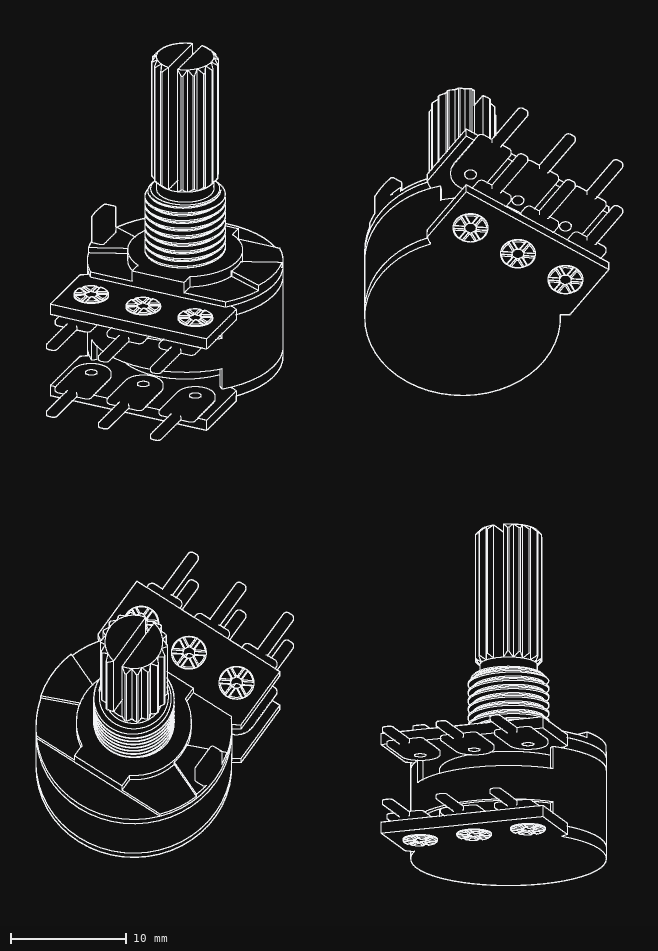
import cadquery as cq
import math

overall_height = 29.7
body_radius = 8.5

board_thickness = 1.0
board_width = 15.0
board_front = 11.5
shoulder_offset = 5.5
neck_offset = 5.05

terminal_count = 3
terminal_pitch = 5.0
rivet_offset = body_radius
terminal_thickness = 0.42
pad_width = 3.45
pad_front = 12.5
pad_corner = 0.42
pin_width = 1.0
pin_front = 16.8
pin_corner = 0.35
edge_round = 0.1
rivet_radius = 1.5
rivet_height = 0.2
rivet_edge = 0.1
rivet_hole_radius = 0.5
rivet_slot_width = 0.3
rivet_slot_depth = 0.15
rivet_slot_angles = (30, 90, 150)

case_height = 6.98
window_height = 2.0
window_angle = 95.0
case_bore_radius = 8.0

cover_half_depth = 5.5
cover_thickness = 0.5
wedge_height = 1.0
wedge_inner_half_width = 1.0
wedge_outer_half_width = 2.5
collar_radius = 5.0
collar_height = 1.5
collar_bar_width = 5.0
tab_inner_face = 7.22
tab_width = 2.8
tab_top = 12.5
tab_corner = 0.25
bushing_height = 6.0
thread_radius = 3.5
thread_root_radius = 3.1
thread_turns = 8
thread_pitch = bushing_height / thread_turns
thread_crest_width = 0.15
runout_turns = 2
thread_start = 0.3
thread_flank_angle = 30
ridge_embedding = 0.05
envelope_clearance = 0.3
bushing_top_radius = 3.0

rotor_radius = 6.0
shaft_radius = 2.5
neck_height = 0.98
spline_radius = 2.9
spline_divisions = 18
teeth_per_side = 8
spline_tip_width = 0.15
spline_chamfer = 0.5
screwdriver_slot_width = 0.9

upper_board_top = 2 * board_thickness + case_height
collar_top = upper_board_top + collar_height
bushing_top = collar_top + bushing_height
spline_bottom = bushing_top + neck_height
shaft_top = overall_height - rivet_height


def disc(radius, bottom, top):
    return cq.Workplane("XY").workplane(offset=bottom).circle(radius).extrude(top - bottom)


def block(x_size, y_size, bottom, top):
    return (
        cq.Workplane("XY").workplane(offset=bottom)
        .rect(x_size, y_size).extrude(top - bottom)
    )


def board_plate():
    neck_x = math.sqrt(body_radius ** 2 - neck_offset ** 2)
    side_x = board_width / 2
    return (
        cq.Workplane("XY")
        .moveTo(neck_x, -neck_offset)
        .threePointArc((0, body_radius), (-neck_x, -neck_offset))
        .lineTo(-side_x, -shoulder_offset)
        .lineTo(-side_x, -board_front)
        .lineTo(side_x, -board_front)
        .lineTo(side_x, -shoulder_offset)
        .close()
        .extrude(board_thickness)
    )


def terminal(x):
    """Flat lug on the upper side of the board, round at the rivet, with a narrow pin."""
    pad = (
        cq.Workplane("XY")
        .moveTo(pad_width / 2, -rivet_offset)
        .threePointArc((0, pad_width / 2 - rivet_offset), (-pad_width / 2, -rivet_offset))
        .lineTo(-pad_width / 2, -pad_front)
        .lineTo(pad_width / 2, -pad_front)
        .close()
        .extrude(terminal_thickness)
        .edges("|Z and <Y").fillet(pad_corner)
    )
    pin_length = pin_front - rivet_offset
    pin = (
        cq.Workplane("XY")
        .center(0, -rivet_offset - pin_length / 2)
        .rect(pin_width, pin_length).extrude(terminal_thickness)
        .edges("|Z and <Y").fillet(pin_corner)
    )
    lug = pad.union(pin).faces("<Z or >Z").edges().fillet(edge_round)
    return lug.translate((x, 0, board_thickness))


def rivet(x):
    """Flat rivet head under the board, split into petals."""
    head = disc(rivet_radius, -rivet_height, 0).cut(disc(rivet_hole_radius, -rivet_height, 0))
    for angle in rivet_slot_angles:
        slot = block(2 * rivet_radius, rivet_slot_width, -rivet_height, rivet_slot_depth - rivet_height)
        head = head.cut(slot.rotate((0, 0, 0), (0, 0, 1), angle))
    return head.faces("<Z").edges().chamfer(rivet_edge).translate((x, -rivet_offset, 0))


def terminal_board():
    """Lower board: terminals on its upper side, rivet heads on its underside."""
    board = board_plate()
    for index in range(terminal_count):
        x = (index - (terminal_count - 1) / 2) * terminal_pitch
        hole = disc(rivet_hole_radius, 0, board_thickness + terminal_thickness)
        board = board.union(terminal(x)).union(rivet(x)).cut(hole.translate((x, -rivet_offset, 0)))
    return board


boards = []
for is_upper in (False, True):
    board = terminal_board()
    if is_upper:
        shaft_hole = disc(shaft_radius, 0, board_thickness)
        board = board.cut(shaft_hole).mirror("XY").translate((0, 0, upper_board_top))
    boards.append(board)


def case_window(bottom):
    """Opening through the wall toward the terminals, with radial end faces."""
    half_angle = math.radians(window_angle / 2)
    reach = 2 * body_radius
    x = reach * math.sin(half_angle)
    y = -reach * math.cos(half_angle)
    return (
        cq.Workplane("XY").workplane(offset=bottom)
        .moveTo(0, 0).lineTo(-x, y).lineTo(x, y).close()
        .extrude(window_height)
    )


def case_body():
    """Thin-walled tube between the two boards."""
    bottom = board_thickness
    top = bottom + case_height
    tube = disc(body_radius, bottom, top).cut(disc(case_bore_radius, bottom, top))
    return tube.cut(case_window(bottom)).cut(case_window(top - window_height))


case = case_body()


def cover_plate():
    bottom = upper_board_top
    outline = disc(body_radius, bottom, collar_top)
    plate = block(2 * body_radius, 2 * cover_half_depth, bottom, bottom + cover_thickness)
    for side in (-1, 1):
        wedge = (
            cq.Workplane("XY").workplane(offset=bottom)
            .polyline([
                (0, -wedge_inner_half_width),
                (side * collar_radius, -wedge_inner_half_width),
                (side * body_radius, -wedge_outer_half_width),
                (side * body_radius, wedge_outer_half_width),
                (side * collar_radius, wedge_inner_half_width),
                (0, wedge_inner_half_width),
            ])
            .close().extrude(wedge_height)
        )
        plate = plate.union(wedge)
    collar_bar = block(collar_bar_width, 2 * cover_half_depth, bottom, collar_top)
    plate = plate.intersect(outline)
    return plate.union(disc(collar_radius, bottom, collar_top)).union(collar_bar)


def locating_tab():
    """Upright tab at the -X rim; its outer face follows the round body."""
    depth = body_radius - tab_inner_face
    return (
        block(depth, tab_width, upper_board_top, tab_top)
        .translate((-tab_inner_face - depth / 2, 0, 0))
        .intersect(disc(body_radius, upper_board_top, tab_top))
        .edges("|Z").fillet(tab_corner)
        .faces(">Z").edges().fillet(edge_round)
    )


def bushing():
    """Threaded sleeve: a plain core with a right-handed helical ridge."""
    core = disc(thread_root_radius, collar_top, bushing_top)
    ridge_base_radius = thread_root_radius - ridge_embedding
    flank_height = (thread_radius - ridge_base_radius) * math.tan(math.radians(thread_flank_angle))
    crest_half = thread_crest_width / 2
    base_half = crest_half + flank_height
    first_crest = collar_top + thread_start - runout_turns * thread_pitch
    helix = cq.Wire.makeHelix(
        thread_pitch, bushing_height + 2 * runout_turns * thread_pitch, thread_root_radius,
        center=cq.Vector(0, 0, first_crest),
    )
    ridge = (
        cq.Workplane("XZ")
        .polyline([
            (ridge_base_radius, first_crest - base_half),
            (thread_radius, first_crest - crest_half),
            (thread_radius, first_crest + crest_half),
            (ridge_base_radius, first_crest + base_half),
        ])
        .close()
        .sweep(cq.Workplane(obj=helix), isFrenet=True)
    )
    envelope_radius = thread_radius + envelope_clearance
    envelope = disc(envelope_radius, collar_top, bushing_top)
    envelope = envelope.faces(">Z").chamfer(envelope_radius - bushing_top_radius)
    return core.intersect(envelope).union(ridge.intersect(envelope))


cover = (
    cover_plate()
    .union(locating_tab())
    .union(bushing())
    .cut(disc(shaft_radius, upper_board_top, bushing_top))
)


def spline_tooth(angle):
    """One ridge between two neighbouring valleys at the shaft radius."""
    half_pitch = math.pi / spline_divisions
    valley_x = shaft_radius * math.cos(half_pitch)
    valley_y = shaft_radius * math.sin(half_pitch)
    tooth = (
        cq.Workplane("XY").workplane(offset=spline_bottom)
        .polyline([
            (0, 0),
            (valley_x, -valley_y),
            (spline_radius, -spline_tip_width / 2),
            (spline_radius, spline_tip_width / 2),
            (valley_x, valley_y),
        ])
        .close().extrude(shaft_top - spline_bottom)
    )
    return tooth.rotate((0, 0, 0), (0, 0, 1), angle)


def splined_shaft():
    """Rotor drum, plain neck and slotted splined end in one piece."""
    pitch_angle = 360 / spline_divisions
    rotor_top = board_thickness + case_height
    shaft = disc(rotor_radius, board_thickness, rotor_top).union(disc(shaft_radius, rotor_top, shaft_top))
    teeth = disc(shaft_radius, spline_bottom, shaft_top)
    for side_angle in (0, 180):
        for index in range(teeth_per_side):
            angle = side_angle + (index - (teeth_per_side - 1) / 2) * pitch_angle
            teeth = teeth.union(spline_tooth(angle))
    envelope = disc(shaft_radius + spline_chamfer, spline_bottom, shaft_top)
    envelope = envelope.faces("<Z or >Z").chamfer(spline_chamfer)
    slot = block(screwdriver_slot_width, 2 * spline_radius, spline_bottom, shaft_top)
    return shaft.union(teeth.intersect(envelope)).cut(slot)


shaft = splined_shaft()

result = cq.Compound.makeCompound(
    [board.val() for board in boards] + [case.val(), cover.val(), shaft.val()]
)